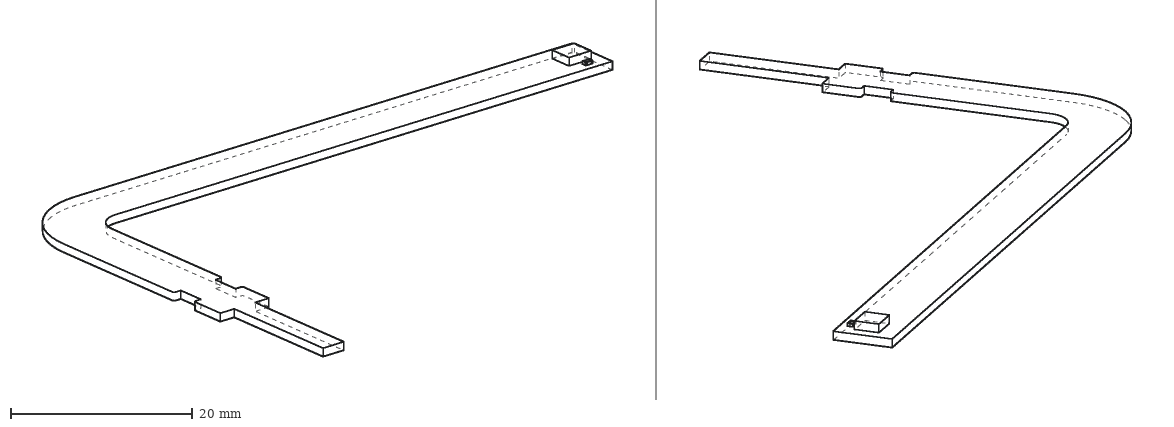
import cadquery as cq

board_length_x = 52.31
board_length_y = 81.5
overall_height = 2.02
board_thickness = 1.02
strip_width = 7.0
bend_outer_radius = 10.0
bend_inner_radius = bend_outer_radius - strip_width

tab_length = 15.3
tab_width = 3.0
head_length = 4.55
neck_length = 3.45
neck_depth = 1.0
notch_corner_radius = 0.3

chip_size_x = 2.9
chip_size_y = 3.2
chip_height = overall_height - board_thickness
chip_center_x = 3.55
chip_end_distance = 3.0
chip_center_y = board_length_y - chip_end_distance

capacitor_length = 1.0
capacitor_width = 0.6
capacitor_height = 0.35
terminal_length = 0.2
capacitor_center_x = 5.8
capacitor_end_distance = 2.6
capacitor_center_y = board_length_y - capacitor_end_distance


def make_board():
    """Flat L-shaped board with a rounded bend, two neck notches and a narrow end tab."""
    head_end = board_length_x - tab_length
    head_start = head_end - head_length
    neck_start = head_start - neck_length
    tab_low = (strip_width - tab_width) / 2
    tab_high = tab_low + tab_width
    neck_high = strip_width - neck_depth

    outline = (
        cq.Workplane("XY")
        .moveTo(0, board_length_y)
        .lineTo(0, 0)
        .lineTo(neck_start, 0)
        .lineTo(neck_start, neck_depth)
        .lineTo(head_start, neck_depth)
        .lineTo(head_start, 0)
        .lineTo(head_end, 0)
        .lineTo(head_end, tab_low)
        .lineTo(board_length_x, tab_low)
        .lineTo(board_length_x, tab_high)
        .lineTo(head_end, tab_high)
        .lineTo(head_end, strip_width)
        .lineTo(head_start, strip_width)
        .lineTo(head_start, neck_high)
        .lineTo(neck_start, neck_high)
        .lineTo(neck_start, strip_width)
        .lineTo(strip_width, strip_width)
        .lineTo(strip_width, board_length_y)
        .close()
    )
    board = outline.extrude(board_thickness)
    outer_corner = cq.selectors.NearestToPointSelector((0, 0, board_thickness / 2))
    board = board.edges(outer_corner).fillet(bend_outer_radius)
    inner_corner = cq.selectors.NearestToPointSelector((strip_width, strip_width, board_thickness / 2))
    board = board.edges(inner_corner).fillet(bend_inner_radius)
    for x in (neck_start, head_start):
        for y in (0, strip_width):
            notch_corner = cq.selectors.NearestToPointSelector((x, y, board_thickness / 2))
            board = board.edges(notch_corner).fillet(notch_corner_radius)
    return board


def block_on_board(size_x, size_y, height, center_x, center_y):
    """Rectangular block standing on the top face of the board."""
    return (
        cq.Workplane("XY", origin=(center_x, center_y, board_thickness))
        .box(size_x, size_y, height, centered=(True, True, False))
    )


def make_sensor_chip():
    """Sensor chip standing close to the free end of the long leg."""
    return block_on_board(chip_size_x, chip_size_y, chip_height, chip_center_x, chip_center_y)


def make_capacitor_body():
    """Middle part of the capacitor, between its two end terminals."""
    body_length = capacitor_length - 2 * terminal_length
    return block_on_board(
        capacitor_width, body_length, capacitor_height, capacitor_center_x, capacitor_center_y
    )


def make_capacitor_terminal(side):
    """End terminal of the capacitor; side is -1 or 1 along Y."""
    offset = side * (capacitor_length - terminal_length) / 2
    return block_on_board(
        capacitor_width, terminal_length, capacitor_height, capacitor_center_x, capacitor_center_y + offset
    )


board = make_board()
sensor_chip = make_sensor_chip()
capacitor_body = make_capacitor_body()
capacitor_terminals = [make_capacitor_terminal(side) for side in (-1, 1)]

result = cq.Compound.makeCompound(
    [
        board.val(),
        sensor_chip.val(),
        capacitor_body.val(),
        *[terminal.val() for terminal in capacitor_terminals],
    ]
)